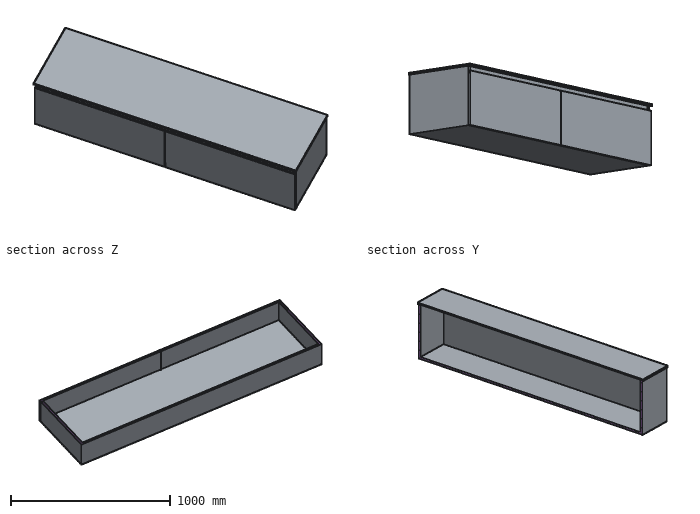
import cadquery as cq

WIDTH = 1800.0
DEPTH = 500.0
HEIGHT = 392.0

TOP_THICKNESS = 13.0
SIDE_OVERHANG = 7.0
EDGE_CHAMFER = 1.0
FRONT_OVERHANG = 2.0

BOARD_THICKNESS = 18.0
FRONT_GAP = 7.0
GRIP_OPENING = 30.0
GRIP_CHAMFER = 13.0

cabinet_width = WIDTH - 2 * SIDE_OVERHANG
cabinet_height = HEIGHT - TOP_THICKNESS
cabinet_depth = DEPTH - FRONT_OVERHANG - BOARD_THICKNESS
inner_width = cabinet_width - 2 * BOARD_THICKNESS
front_width = (cabinet_width - FRONT_GAP) / 2
front_height = cabinet_height - GRIP_OPENING
rail_height = GRIP_OPENING + BOARD_THICKNESS


def board(width, depth, height, back_y, bottom_z, center_x=0.0):
    """Rectangular board that runs forward (-Y) from back_y and up from bottom_z."""
    return (
        cq.Workplane("XY")
        .box(width, depth, height, centered=(True, False, False))
        .translate((center_x, back_y - depth, bottom_z))
    )


def make_worktop():
    """Slab with its upper and lower edges broken at the front and sides, square at the back."""
    slab = board(WIDTH, DEPTH, TOP_THICKNESS, 0, cabinet_height)
    return slab.faces("<Z or >Z").edges("not >Y").chamfer(EDGE_CHAMFER)


def make_carcass():
    """Two sides, back and bottom in one piece, open at the front and top."""
    block = board(cabinet_width, cabinet_depth, cabinet_height, 0, 0)
    interior = board(
        inner_width,
        cabinet_depth - BOARD_THICKNESS,
        cabinet_height - BOARD_THICKNESS,
        -BOARD_THICKNESS,
        BOARD_THICKNESS,
    )
    return block.cut(interior)


def make_grip_rail():
    """Rail between the sides, flush with their front edges and under the worktop."""
    rail_back = BOARD_THICKNESS - cabinet_depth
    return board(inner_width, BOARD_THICKNESS, rail_height, rail_back, cabinet_height - rail_height)


def make_drawer_front(side):
    """Drawer front on the left (side = -1) or the right (side = 1), its rear top edge bevelled as a grip."""
    center_x = side * (front_width + FRONT_GAP) / 2
    panel = board(front_width, BOARD_THICKNESS, front_height, -cabinet_depth, 0, center_x)
    return panel.faces(">Z").edges(">Y").chamfer(GRIP_CHAMFER)


worktop = make_worktop()
carcass = make_carcass()
grip_rail = make_grip_rail()
drawer_fronts = []
for side in (-1, 1):
    drawer_fronts.append(make_drawer_front(side).val())

result = cq.Compound.makeCompound([worktop.val(), carcass.val(), grip_rail.val(), *drawer_fronts])